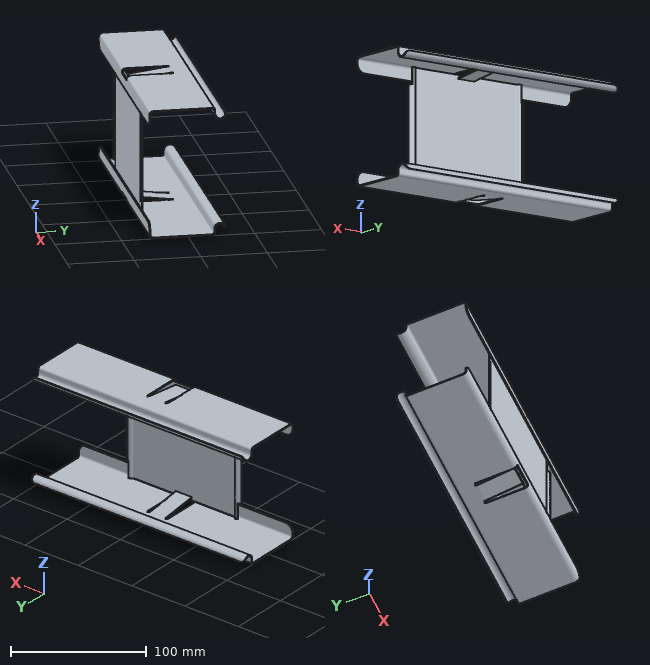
import cadquery as cq
import math

length = 200.0
height = 98.5
depth = 58.2
half_height = height / 2

sheet = 1.0
lip_height = 12.0
lip_bend_radius = 3.3
lip_corner_radius = 6.0
hook_wall_y = 48.7
hook_bend_radius = 2.4
hook_radius = (depth - hook_wall_y) / 2
hook_centre_drop = 4.7
hook_corner_radius = 4.2

tongue_width = 15.0
relief_width = 2.0
relief_end_y = 35.2
tongue_root_y = 34.0
tongue_angle = 7.3
tongue_bend_radius = 6.0
notch_depth = lip_bend_radius

web_sheet = 0.7
web_front_y = 2.3
web_height = 95.0
web_half_width = 53.9
bead_start_x = 47.3
bead_end_x = 52.7
bead_depth = 1.7
bead_inner_share = 0.6
tab_height = 68.5
tab_cut_x = 51.2


def rail_section():
    """Closed outline of the upper rail in the YZ plane, from lip to hook."""
    top = half_height
    lip_end = top - lip_height
    lip_inner = lip_bend_radius - sheet
    hook_inner_bend = hook_bend_radius - sheet
    hook_inner = hook_radius - sheet
    wall_back = hook_wall_y + sheet
    hook_y = hook_wall_y + hook_radius
    hook_z = top - hook_centre_drop
    diagonal = math.sqrt(0.5)

    lip_bend = (lip_bend_radius, top - lip_bend_radius)
    hook_bend = (wall_back - hook_bend_radius, top - hook_bend_radius)

    def on_bend(centre, radius, side):
        return (centre[0] + side * radius * diagonal, centre[1] + radius * diagonal)

    return (
        cq.Workplane("YZ", origin=(-length / 2, 0, 0))
        .moveTo(0, lip_end)
        .lineTo(0, lip_bend[1])
        .threePointArc(on_bend(lip_bend, lip_bend_radius, -1), (lip_bend[0], top))
        .lineTo(hook_bend[0], top)
        .threePointArc(on_bend(hook_bend, hook_bend_radius, 1), (wall_back, hook_bend[1]))
        .lineTo(wall_back, hook_z)
        .threePointArc((hook_y, hook_z - hook_inner), (depth - sheet, hook_z))
        .lineTo(depth, hook_z)
        .threePointArc((hook_y, hook_z - hook_radius), (hook_wall_y, hook_z))
        .lineTo(hook_wall_y, hook_bend[1])
        .threePointArc(on_bend(hook_bend, hook_inner_bend, 1), (hook_bend[0], top - sheet))
        .lineTo(lip_bend[0], top - sheet)
        .threePointArc(on_bend(lip_bend, lip_inner, -1), (sheet, lip_bend[1]))
        .lineTo(sheet, lip_end)
        .close()
    )


def tongue_opening():
    """Two round-ended relief slots and the window between them, open at the lip bend."""
    opening_width = tongue_width + 2 * relief_width
    window_length = tongue_root_y + lip_bend_radius
    cutter = (
        cq.Workplane("XY")
        .box(opening_width, window_length, notch_depth, centered=(True, False, False))
        .translate((0, -lip_bend_radius, half_height - notch_depth))
    )
    for side in (-1, 1):
        slot_x = side * (tongue_width + relief_width) / 2
        slot = (
            cq.Workplane("XY", origin=(slot_x, relief_end_y / 2, half_height - notch_depth))
            .slot2D(relief_end_y, relief_width, 90)
            .extrude(notch_depth)
        )
        cutter = cutter.union(slot)
    return cutter


def tongue():
    """Tongue that bends down at its root and slopes to the middle of the web's thickness."""
    angle = math.radians(tongue_angle)
    end_y = web_front_y + web_sheet / 2
    bend_centre_z = half_height - tongue_bend_radius

    def on_bend(radius, turn):
        return (tongue_root_y - radius * math.sin(turn), bend_centre_z + radius * math.cos(turn))

    def at_web(bend_end):
        return (end_y, bend_end[1] - (bend_end[0] - end_y) * math.tan(angle))

    upper = tongue_bend_radius
    lower = tongue_bend_radius - sheet
    return (
        cq.Workplane("YZ", origin=(-tongue_width / 2, 0, 0))
        .moveTo(*on_bend(upper, 0))
        .threePointArc(on_bend(upper, angle / 2), on_bend(upper, angle))
        .lineTo(*at_web(on_bend(upper, angle)))
        .lineTo(*at_web(on_bend(lower, angle)))
        .lineTo(*on_bend(lower, angle))
        .threePointArc(on_bend(lower, angle / 2), on_bend(lower, 0))
        .close()
        .extrude(tongue_width)
    )


def round_end_corners(rail, start_y, end_y, edge_z, inward, radius):
    """Round both ends of the free edge at edge_z between two Y positions.

    inward is +1 when the sheet lies above the edge and -1 when it lies below.
    """
    span_y = end_y - start_y
    for side in (-1, 1):
        centre_x = side * (length / 2 - radius)
        centre_z = edge_z + inward * radius
        square = (
            cq.Workplane("XY")
            .box(radius, span_y, radius)
            .translate((side * (length - radius) / 2, start_y + span_y / 2, edge_z + inward * radius / 2))
        )
        round_part = (
            cq.Workplane("XZ", origin=(centre_x, end_y, centre_z)).circle(radius).extrude(span_y)
        )
        rail = rail.cut(square.cut(round_part))
    return rail


def upper_rail():
    lip_edge_z = half_height - lip_height
    hook_edge_z = half_height - hook_centre_drop
    hook_centre_y = hook_wall_y + hook_radius
    rail = rail_section().extrude(length)
    rail = round_end_corners(rail, 0, sheet, lip_edge_z, 1, lip_corner_radius)
    rail = round_end_corners(rail, hook_centre_y, depth, hook_edge_z, -1, hook_corner_radius)
    return rail.cut(tongue_opening()).union(tongue())


def web():
    """Flat panel with a rearward bead along each side and a shorter tab beyond it."""
    flank = (bead_end_x - bead_start_x) / 2
    bead_x = (bead_start_x + bead_end_x) / 2
    flank_angle = 2 * math.atan(bead_depth / flank)
    radius_sum = flank / math.sin(flank_angle)
    bottom_radius = bead_inner_share * radius_sum
    shoulder_radius = radius_sum - bottom_radius
    bottom_centre_y = web_front_y + bead_depth - bottom_radius
    shoulder_centre_y = web_front_y + shoulder_radius

    def face_points(offset):
        """Bead points, from panel to tab, on a face set back from the front face."""
        shoulder = shoulder_radius - offset
        bottom = bottom_radius + offset

        def on_shoulder(side, angle):
            centre_x = bead_x + side * flank
            return (centre_x - side * shoulder * math.sin(angle),
                    shoulder_centre_y - shoulder * math.cos(angle))

        def on_bottom(angle):
            return (bead_x + bottom * math.sin(angle), bottom_centre_y + bottom * math.cos(angle))

        return [
            on_shoulder(-1, 0),
            on_shoulder(-1, flank_angle / 2),
            on_bottom(-flank_angle),
            on_bottom(0),
            on_bottom(flank_angle),
            on_shoulder(1, flank_angle / 2),
            on_shoulder(1, 0),
        ]

    def arcs(outline, points):
        for middle, end in zip(points[1::2], points[2::2]):
            outline = outline.threePointArc(middle, end)
        return outline

    front = face_points(0)
    back = face_points(web_sheet)[::-1]
    back_y = web_front_y + web_sheet
    outline = cq.Workplane("XY", origin=(0, 0, -web_height / 2)).moveTo(0, web_front_y)
    outline = arcs(outline.lineTo(*front[0]), front)
    outline = outline.lineTo(web_half_width, web_front_y).lineTo(web_half_width, back_y)
    outline = arcs(outline.lineTo(*back[0]), back)
    half = outline.lineTo(0, back_y).close().extrude(web_height)

    corner_height = (web_height - tab_height) / 2
    corner_width = web_half_width - tab_cut_x
    for side in (-1, 1):
        corner = cq.Workplane("XY").box(2 * corner_width, depth, 2 * corner_height)
        half = half.cut(corner.translate((web_half_width, 0, side * web_height / 2)))
    return half.union(half.mirror("YZ"))


rail = upper_rail()
result = web().union(rail).union(rail.mirror("XY"))